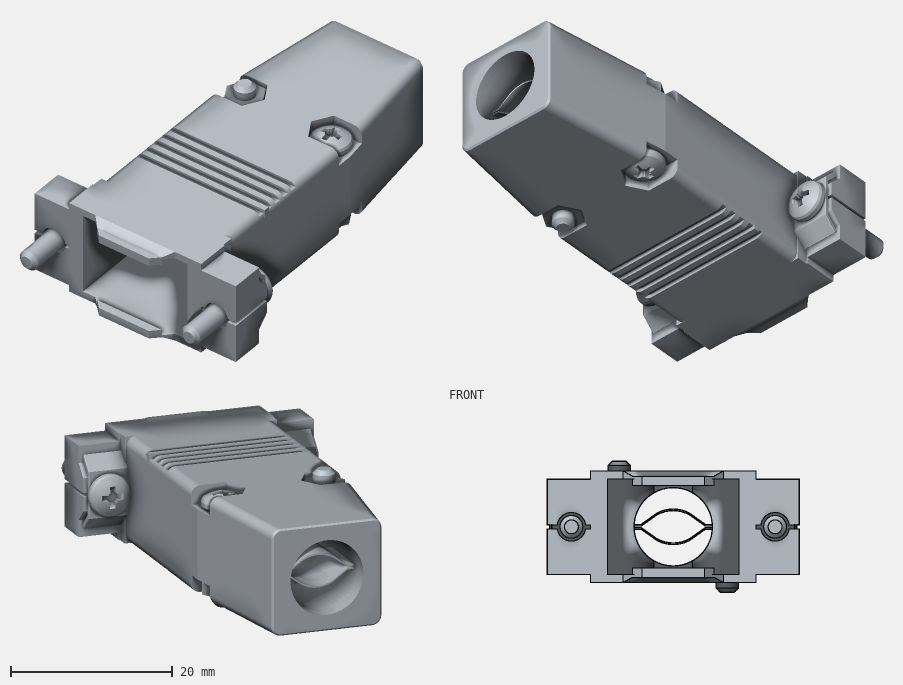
import cadquery as cq
import math


BODY_LENGTH = 49.6
BODY_WIDTH = 19.85
BODY_HEIGHT = 13.8
CABLE_END_WIDTH = 14.55
TAPER_START = 30.9
EDGE_RADIUS = 1.2
END_CHAMFER = 0.2

FLANGE_WIDTH = 20.5
FLANGE_DEPTH = 6.35
FLANGE_BACK_WIDTH = 20.2
EAR_SPAN = 31.2
EAR_HEIGHT = 11.85
EAR_DEPTH = 4.8
EAR_SPLIT = 0.5
SADDLE_TOP_HALF = 2.15
SADDLE_RISE = FLANGE_DEPTH - EAR_DEPTH

MOUTH_WIDTH = 16.25
MOUTH_HEIGHT = 11.85
MOUTH_DEPTH = 26.55
THROAT_WIDTH = 4.75
THROAT_ROUND = 3.35
THROAT_END = 36.5
CABLE_HOLE_DIA = 9.65

GROOVE_COUNT = 5
GROOVE_WIDTH = 0.85
GROOVE_DEPTH = 0.55
GROOVE_PITCH = 1.65
FIRST_GROOVE_Y = 13.05

TAB_ROOT_HALF = 6.2
TAB_REACH = 2.3
TAB_RAMP = 1.15
TAB_HOOK_TOP = 6.25
TAB_HOOK_BOTTOM = 5.1

CLAMP_SCREW_X = 6.7
CLAMP_SCREW_Y = 31.3
CLAMP_SCREW_TIP_Z = 8.1
POCKET_FLATS = 5.3
POCKET_DEPTH = 2.4
POCKET_FLOOR_Z = BODY_HEIGHT / 2 - POCKET_DEPTH
NUT_FLATS = 4.85
NUT_THICKNESS = 1.9

SCREW_DIA = 2.8
HEAD_DIA = 5.45
HEAD_SEAT_DIA = 5.0
HEAD_RIM_BOTTOM = 0.4
HEAD_RIM_TOP = 0.95
DOME_DIA = 5.15
DOME_BASE = 1.25
HEAD_HEIGHT = 2.1
RECESS_SPAN = 3.2
RECESS_FLOOR_SPAN = 1.65
RECESS_ARM = 0.8
RECESS_CORE = 1.2
RECESS_DEPTH = 1.1
TIP_CHAMFER = 0.55

MOUNT_SCREW_X = 12.6
MOUNT_SCREW_REACH = 5.7
MOUNT_CLEARANCE_DIA = 3.55
STRAP_THICKNESS = 0.55
STRAP_CHAMFER = 0.085
STRAP_TOP_HALF = 3.05
STRAP_END_HALF = 4.8
STRAP_INNER_HALF = 2.65
STRAP_INNER_X = 9.9
STRAP_OUTER_X = 15.1
STRAP_TOP_Y = FLANGE_DEPTH + STRAP_THICKNESS

LEAF_THICKNESS = 0.2
LEAF_RISE = 2.0
LEAF_SHOULDER_X = 2.0
LEAF_SHOULDER_Z = 1.5
LEAF_LIP_X = 4.0
LEAF_LIP_Z = 0.085
LEAF_START = 38.7
LEAF_END = 46.4


def box(width, depth, height, start_y=0.0):
    """Box centred on X and Z that starts at start_y."""
    return cq.Workplane("XY").box(width, depth, height, (True, False, True)).translate((0, start_y, 0))


def half_turn(shape):
    """Turn a shape by 180 degrees about the Y axis."""
    return shape.rotate((0, 0, 0), (0, 1, 0), 180)


def hexagon(flats, height):
    """Hexagonal prism with two flats facing +Y and -Y."""
    return cq.Workplane("XY").polygon(6, flats / math.cos(math.pi / 6)).extrude(height)


def shell():
    half, end_half = BODY_WIDTH / 2, CABLE_END_WIDTH / 2
    outline = [
        (-half, 0),
        (half, 0),
        (half, TAPER_START),
        (end_half, BODY_LENGTH),
        (-end_half, BODY_LENGTH),
        (-half, TAPER_START),
    ]
    block = cq.Workplane("XY").polyline(outline).close().extrude(BODY_HEIGHT / 2, both=True)
    long_edges = block.faces("|Z").edges("not |X")
    return long_edges.fillet(EDGE_RADIUS).faces(">Y").chamfer(END_CHAMFER)


def ears():
    """Screw ears with a sloped saddle on the back, split along the middle plane."""
    z_half = EAR_HEIGHT / 2
    saddle_base = SADDLE_TOP_HALF + SADDLE_RISE
    profile = [
        (0, -z_half),
        (EAR_DEPTH, -z_half),
        (EAR_DEPTH, -saddle_base),
        (FLANGE_DEPTH, -SADDLE_TOP_HALF),
        (FLANGE_DEPTH, SADDLE_TOP_HALF),
        (EAR_DEPTH, saddle_base),
        (EAR_DEPTH, z_half),
        (0, z_half),
    ]
    bar = cq.Workplane("YZ").polyline(profile).close().extrude(EAR_SPAN / 2, both=True)
    bar = bar.cut(box(EAR_SPAN, FLANGE_DEPTH, EAR_SPLIT))
    clearance = cq.Workplane("XZ").pushPoints([(-MOUNT_SCREW_X, 0), (MOUNT_SCREW_X, 0)])
    return bar.cut(clearance.circle(MOUNT_CLEARANCE_DIA / 2).extrude(-FLANGE_DEPTH))


def cavity():
    """Wide mouth that funnels through rounded shoulders into a narrow throat."""
    mouth_half, throat_half = MOUTH_WIDTH / 2, THROAT_WIDTH / 2
    shoulder_x = throat_half + THROAT_ROUND
    shoulder_y = MOUTH_DEPTH + THROAT_ROUND
    half_plan = (
        cq.Workplane("XY")
        .lineTo(mouth_half, 0)
        .lineTo(mouth_half, MOUTH_DEPTH)
        .lineTo(shoulder_x, MOUTH_DEPTH)
        .radiusArc((throat_half, shoulder_y), THROAT_ROUND)
        .lineTo(throat_half, THROAT_END)
        .lineTo(0, THROAT_END)
        .close()
        .extrude(MOUTH_HEIGHT / 2, both=True)
    )
    cable_hole = cq.Workplane("XZ").circle(CABLE_HOLE_DIA / 2).extrude(-BODY_LENGTH)
    return half_plan.union(half_plan.mirror("YZ")).union(cable_hole)


def top_grooves():
    grooves = cq.Workplane("XY")
    for index in range(GROOVE_COUNT):
        start_y = FIRST_GROOVE_Y + index * GROOVE_PITCH - GROOVE_WIDTH / 2
        groove = box(BODY_WIDTH, GROOVE_WIDTH, 2 * GROOVE_DEPTH, start_y)
        grooves = grooves.union(groove.translate((0, 0, BODY_HEIGHT / 2)))
    return grooves


def square_rib_end():
    """Square corner on the +X end of the rib nearest the flange."""
    rib_length = GROOVE_PITCH - GROOVE_WIDTH
    rib = box(EDGE_RADIUS, rib_length, EDGE_RADIUS, FIRST_GROOVE_Y + GROOVE_WIDTH / 2)
    return rib.translate(((BODY_WIDTH - EDGE_RADIUS) / 2, 0, (BODY_HEIGHT - EDGE_RADIUS) / 2))


def top_tab():
    """Hooked tab with 45 degree sides that locates the mating part."""
    profile = [
        (0, MOUTH_HEIGHT / 2),
        (0, BODY_HEIGHT / 2),
        (-TAB_RAMP, TAB_HOOK_TOP),
        (-TAB_REACH, TAB_HOOK_TOP),
        (-TAB_REACH, TAB_HOOK_BOTTOM),
        (-TAB_RAMP, TAB_HOOK_BOTTOM),
        (-TAB_RAMP, MOUTH_HEIGHT / 2),
    ]
    hook = cq.Workplane("YZ").polyline(profile).close().extrude(TAB_ROOT_HALF, both=True)
    tip_half = TAB_ROOT_HALF - TAB_REACH
    plan = [
        (-TAB_ROOT_HALF, 0),
        (TAB_ROOT_HALF, 0),
        (tip_half, -TAB_REACH),
        (-tip_half, -TAB_REACH),
    ]
    return hook.intersect(cq.Workplane("XY").polyline(plan).close().extrude(BODY_HEIGHT))


def pocket(side):
    """Hexagonal pocket in the top face, open towards the given X side."""
    open_end = box(BODY_WIDTH / 2, POCKET_FLATS, POCKET_DEPTH, -POCKET_FLATS / 2)
    open_end = open_end.translate((side * BODY_WIDTH / 4, 0, POCKET_DEPTH / 2))
    shape = hexagon(POCKET_FLATS, POCKET_DEPTH).union(open_end)
    return shape.translate((side * CLAMP_SCREW_X, CLAMP_SCREW_Y, POCKET_FLOOR_Z))


def screw_head():
    """Domed head with a tapered cross recess, seated on Z = 0."""
    dome_edge = DOME_DIA / 2
    dome_rise = HEAD_HEIGHT - DOME_BASE
    dome_radius = (dome_edge**2 + dome_rise**2) / (2 * dome_rise)
    head = (
        cq.Workplane("XZ")
        .lineTo(HEAD_SEAT_DIA / 2, 0)
        .lineTo(HEAD_DIA / 2, HEAD_RIM_BOTTOM)
        .lineTo(HEAD_DIA / 2, HEAD_RIM_TOP)
        .lineTo(dome_edge, DOME_BASE)
        .radiusArc((0, HEAD_HEIGHT), -dome_radius)
        .close()
        .revolve(360, (0, 0, 0), (0, 1, 0))
    )
    recess_floor = HEAD_HEIGHT - RECESS_DEPTH
    core = cq.Workplane("XY").workplane(offset=recess_floor).rect(RECESS_CORE, RECESS_CORE)
    head = head.cut(core.extrude(RECESS_DEPTH))
    arm_profile = [
        (-RECESS_FLOOR_SPAN / 2, recess_floor),
        (RECESS_FLOOR_SPAN / 2, recess_floor),
        (RECESS_SPAN / 2, HEAD_HEIGHT),
        (-RECESS_SPAN / 2, HEAD_HEIGHT),
    ]
    for plane in ("XZ", "YZ"):
        arm = cq.Workplane(plane).polyline(arm_profile).close().extrude(RECESS_ARM / 2, both=True)
        head = head.cut(arm)
    return head


def shank(length):
    """Screw shank along +Z with a chamfered tip."""
    return cq.Workplane("XY").circle(SCREW_DIA / 2).extrude(length).faces(">Z").chamfer(TIP_CHAMFER)


def clamp_fastener():
    """Screw rising through the -X boss: nut and tip on top, domed head below."""
    nut = hexagon(NUT_FLATS, NUT_THICKNESS).translate((0, 0, POCKET_FLOOR_Z))
    screw = shank(POCKET_FLOOR_Z + CLAMP_SCREW_TIP_Z).translate((0, 0, -POCKET_FLOOR_Z))
    head = half_turn(screw_head()).translate((0, 0, -POCKET_FLOOR_Z))
    return nut.union(screw).union(head).translate((-CLAMP_SCREW_X, CLAMP_SCREW_Y, 0))


def mounting_screw():
    """Screw on the +X ear together with the bent strap below its head."""
    screw = half_turn(shank(STRAP_TOP_Y + MOUNT_SCREW_REACH)).union(screw_head())
    screw = screw.rotate((0, 0, 0), (1, 0, 0), -90).translate((MOUNT_SCREW_X, STRAP_TOP_Y, 0))
    end_y = STRAP_TOP_Y - (STRAP_END_HALF - STRAP_TOP_HALF)
    upper = [
        (STRAP_TOP_Y, STRAP_TOP_HALF),
        (end_y, STRAP_END_HALF),
        (EAR_DEPTH, STRAP_END_HALF - (end_y - EAR_DEPTH)),
        (EAR_DEPTH, STRAP_INNER_HALF + SADDLE_RISE),
        (FLANGE_DEPTH, STRAP_INNER_HALF),
    ]
    lower = [(y, -z) for y, z in reversed(upper)]
    profile = cq.Workplane("YZ").workplane(offset=STRAP_INNER_X).polyline(upper + lower).close()
    strap = profile.extrude(STRAP_OUTER_X - STRAP_INNER_X)
    return screw.union(strap.faces(">X").chamfer(STRAP_CHAMFER))


def clamp_leaf():
    """Upper of two thin bowed leaves anchored in the sides of the cable hole."""
    reach = CABLE_HOLE_DIA / 2 + LEAF_THICKNESS
    lip_top = LEAF_LIP_Z + LEAF_THICKNESS
    shoulder_top = LEAF_SHOULDER_Z + LEAF_THICKNESS
    crown = LEAF_RISE + LEAF_THICKNESS
    return (
        cq.Workplane("XZ", origin=(0, LEAF_START, 0))
        .moveTo(-reach, LEAF_LIP_Z)
        .lineTo(-LEAF_LIP_X, LEAF_LIP_Z)
        .lineTo(-LEAF_SHOULDER_X, LEAF_SHOULDER_Z)
        .threePointArc((0, LEAF_RISE), (LEAF_SHOULDER_X, LEAF_SHOULDER_Z))
        .lineTo(LEAF_LIP_X, LEAF_LIP_Z)
        .lineTo(reach, LEAF_LIP_Z)
        .lineTo(reach, lip_top)
        .lineTo(LEAF_LIP_X, lip_top)
        .lineTo(LEAF_SHOULDER_X, shoulder_top)
        .threePointArc((0, crown), (-LEAF_SHOULDER_X, shoulder_top))
        .lineTo(-LEAF_LIP_X, lip_top)
        .lineTo(-reach, lip_top)
        .close()
        .extrude(LEAF_START - LEAF_END)
    )


flange = box(FLANGE_WIDTH, EAR_DEPTH, BODY_HEIGHT)
flange = flange.union(box(FLANGE_BACK_WIDTH, FLANGE_DEPTH, BODY_HEIGHT))
hood = shell().union(ears()).union(flange)

for rib_end in (square_rib_end(), half_turn(square_rib_end())):
    hood = hood.union(rib_end)

hood = hood.cut(cavity())

for cutter in (top_grooves(), pocket(-1), pocket(1)):
    hood = hood.cut(cutter).cut(half_turn(cutter))

for addition in (top_tab(), clamp_fastener(), mounting_screw(), clamp_leaf()):
    hood = hood.union(addition).union(half_turn(addition))

result = hood